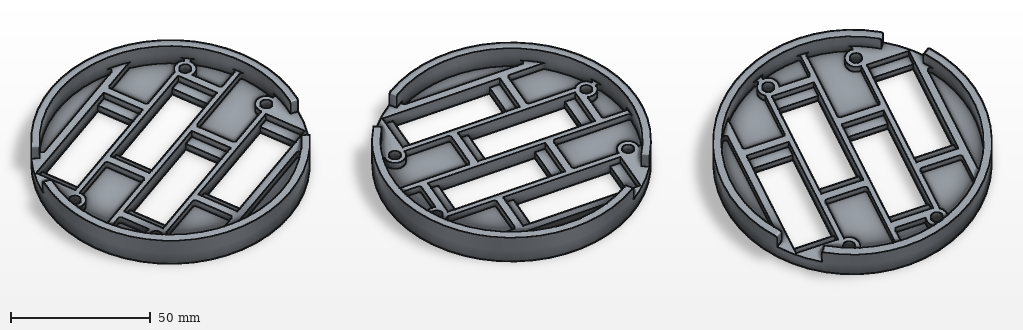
import cadquery as cq
import math

outer_radius = 50.0
rim_thickness = 3.0
inner_radius = outer_radius - rim_thickness
total_height = 12.0
floor_height = 6.0

gap_directions = (45.0, 225.0)
gap_half_angle = 10.0
rim_end_radius = 1.0

column_count = 4
column_width = 16.3
rib_width = 2.1
column_pitch = column_width + rib_width
column_centers = [(index - (column_count - 1) / 2) * column_pitch for index in range(column_count)]
window_length = 38.6
ledge_length = 4.1
ledge_height = 3.0
recess_length = window_length + 2 * ledge_length
window_shift = 10.5

pocket_floor = 3.0
pocket_corner_radius = 1.0
bar_width = 3.0

hole_diameter = 4.4
boss_radius = 4.0
hole_x = 17.0
hole_y = 38.2
hole_points = [(x, y) for x in (-hole_x, hole_x) for y in (-hole_y, hole_y)]

recess_near_end = recess_length / 2 - window_shift
recess_far_end = recess_length / 2 + window_shift


def block(x_min, x_max, y_min, y_max, z_min, z_max):
    """Axis-aligned block between the given limits."""
    return (
        cq.Workplane("XY")
        .box(x_max - x_min, y_max - y_min, z_max - z_min, centered=False)
        .translate((x_min, y_min, z_min))
    )


def gap_wedge(direction):
    """Triangular wedge from the centre that opens one rim gap with radial ends."""
    reach = 2 * outer_radius
    corners = [(0, 0)]
    for side in (-1, 1):
        angle = math.radians(direction + side * gap_half_angle)
        corners.append((reach * math.cos(angle), reach * math.sin(angle)))
    return (
        cq.Workplane("XY", origin=(0, 0, floor_height))
        .polyline(corners)
        .close()
        .extrude(total_height)
    )


def make_rim():
    """Rim above the floor, its two gaps cut and its top ends rounded."""
    rim = (
        cq.Workplane("XY", origin=(0, 0, floor_height))
        .circle(outer_radius)
        .circle(inner_radius)
        .extrude(total_height - floor_height)
    )
    for direction in gap_directions:
        rim = rim.cut(gap_wedge(direction))
    return rim.faces(">Z").edges("%LINE").fillet(rim_end_radius)


def window_cutter(x_center, y_center):
    """Through window plus the longer recess that leaves a ledge at both ends."""
    x_min = x_center - column_width / 2
    x_max = x_center + column_width / 2
    through = block(
        x_min, x_max, y_center - window_length / 2, y_center + window_length / 2, 0, floor_height
    )
    recess = block(
        x_min, x_max, y_center - recess_length / 2, y_center + recess_length / 2, ledge_height, floor_height
    )
    return through.union(recess)


def pocket_cutter(x_min, x_max, y_min, y_max):
    """Pocket between straight sides and the rim, with rounded upright corners."""
    rim_inside = (
        cq.Workplane("XY", origin=(0, 0, pocket_floor))
        .circle(inner_radius)
        .extrude(floor_height - pocket_floor)
    )
    pocket = block(x_min, x_max, y_min, y_max, pocket_floor, floor_height).intersect(rim_inside)
    return pocket.edges("|Z").fillet(pocket_corner_radius)


def half_pockets():
    """Pockets on the +Y half and the -X side; a half turn gives the others."""
    bosses = (
        cq.Workplane("XY", origin=(0, 0, pocket_floor))
        .pushPoints(hole_points)
        .circle(boss_radius)
        .extrude(floor_height - pocket_floor)
    )
    near_start = recess_near_end + bar_width
    far_start = recess_far_end + bar_width
    pockets = cq.Workplane("XY")
    for x_center, y_start in zip(column_centers, (near_start, far_start, near_start)):
        x_min = x_center - column_width / 2
        x_max = x_center + column_width / 2
        pockets = pockets.add(pocket_cutter(x_min, x_max, y_start, outer_radius))
    side_limit = column_centers[0] - column_width / 2 - bar_width
    pockets = pockets.add(pocket_cutter(-outer_radius, side_limit, -outer_radius, outer_radius))
    return pockets.combine().cut(bosses)


tray = cq.Workplane("XY").circle(outer_radius).extrude(floor_height)

for column, center in enumerate(column_centers):
    shift = -window_shift if column % 2 == 0 else window_shift
    tray = tray.cut(window_cutter(center, shift))

pockets = half_pockets()
tray = tray.cut(pockets)
tray = tray.cut(pockets.rotate((0, 0, 0), (0, 0, 1), 180))

holes = cq.Workplane("XY").pushPoints(hole_points).circle(hole_diameter / 2).extrude(floor_height)
tray = tray.cut(holes)

result = tray.union(make_rim())